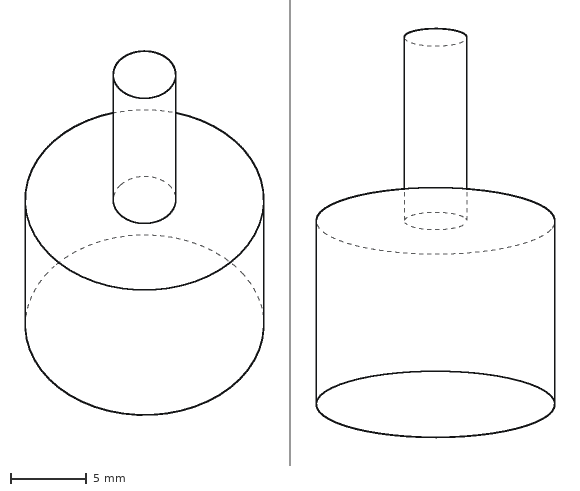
import cadquery as cq

total_height = 25.4
body_diameter = 15.88
body_height = total_height / 2
pin_diameter = 4.17
pin_height = total_height - body_height

body = cq.Workplane("XY").circle(body_diameter / 2).extrude(body_height)

result = body.faces(">Z").workplane().circle(pin_diameter / 2).extrude(pin_height)